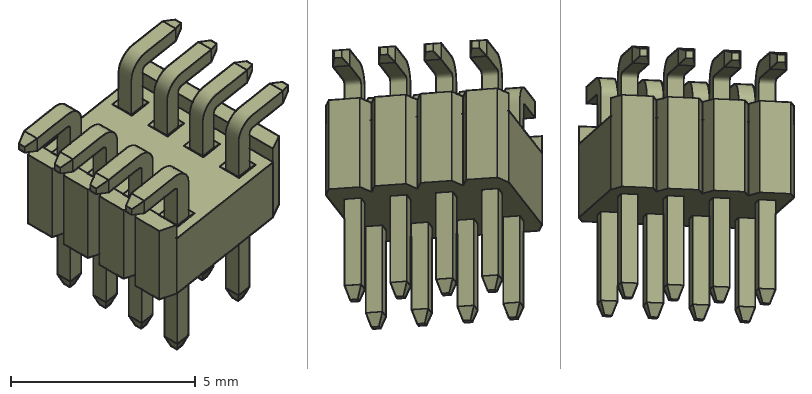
import cadquery as cq

columns = 4
body_width = 5.08
pitch = body_width / columns
row_offset = pitch

core_depth = 4.0
body_bottom = 2.815
core_height = 2.03
core_top = body_bottom + core_height

ridge_height = 2.525
ridge_depth = 0.49
ridge_gap = 0.01
ridge_base_width = pitch - ridge_gap
ridge_face_width = 0.86

pin_size = 0.46
pin_top = 6.61
pin_reach = 6.5 / 2
bend_inner_radius = 0.13
bend_outer_radius = bend_inner_radius + pin_size
tip_length = 0.37
tip_size = 0.21

pocket_size = 0.695
pocket_depth = (pocket_size - pin_size) / 2

column_positions = [(i - (columns - 1) / 2) * pitch for i in range(columns)]


def square_taper(plane, start_size, end_size, length):
    """Square frustum starting on the plane and running along its normal."""
    return (
        cq.Workplane(plane)
        .rect(start_size, start_size)
        .workplane(offset=length)
        .rect(end_size, end_size)
        .loft(ruled=True)
    )


def make_core():
    return (
        cq.Workplane("XY")
        .workplane(offset=body_bottom)
        .rect(body_width, core_depth)
        .extrude(core_height)
    )


def make_ridge(x):
    """Ridge on the +Y side of the core, standing taller than the core."""
    inner_y = core_depth / 2
    outer_y = inner_y + ridge_depth
    return (
        cq.Workplane("XY")
        .workplane(offset=body_bottom)
        .polyline([
            (x - ridge_base_width / 2, inner_y),
            (x + ridge_base_width / 2, inner_y),
            (x + ridge_face_width / 2, outer_y),
            (x - ridge_face_width / 2, outer_y),
        ])
        .close()
        .extrude(ridge_height)
    )


def make_pocket(x):
    """Funnel that narrows from the core top down to the pin section."""
    mouth = cq.Plane(origin=(x, row_offset, core_top), xDir=(1, 0, 0), normal=(0, 0, -1))
    return square_taper(mouth, pocket_size, pin_size, pocket_depth)


def make_pin(x):
    """Pin of the +Y row: straight down through the core, bent outward at the top."""
    inner_y = row_offset - pin_size / 2
    outer_y = row_offset + pin_size / 2
    leg_end_y = pin_reach - tip_length
    leg_bottom = pin_top - pin_size
    bend_y = inner_y + bend_outer_radius
    bend_z = pin_top - bend_outer_radius

    shank = (
        cq.Workplane("YZ", origin=(x, 0, 0))
        .moveTo(inner_y, tip_length)
        .lineTo(inner_y, bend_z)
        .radiusArc((bend_y, pin_top), bend_outer_radius)
        .lineTo(leg_end_y, pin_top)
        .lineTo(leg_end_y, leg_bottom)
        .lineTo(bend_y, leg_bottom)
        .radiusArc((outer_y, bend_z), -bend_inner_radius)
        .lineTo(outer_y, tip_length)
        .close()
        .extrude(pin_size / 2, both=True)
    )
    lower_end = cq.Plane(origin=(x, row_offset, tip_length), xDir=(1, 0, 0), normal=(0, 0, -1))
    leg_end = cq.Plane(
        origin=(x, leg_end_y, pin_top - pin_size / 2), xDir=(1, 0, 0), normal=(0, 1, 0)
    )
    lower_tip = square_taper(lower_end, pin_size, tip_size, tip_length)
    leg_tip = square_taper(leg_end, pin_size, tip_size, tip_length)
    return shank.union(lower_tip).union(leg_tip)


result = make_core()
for column_x in column_positions:
    pocket = make_pocket(column_x)
    result = result.cut(pocket).cut(pocket.mirror("XZ"))

for column_x in column_positions:
    for feature in (make_ridge(column_x), make_pin(column_x)):
        result = result.union(feature).union(feature.mirror("XZ"))